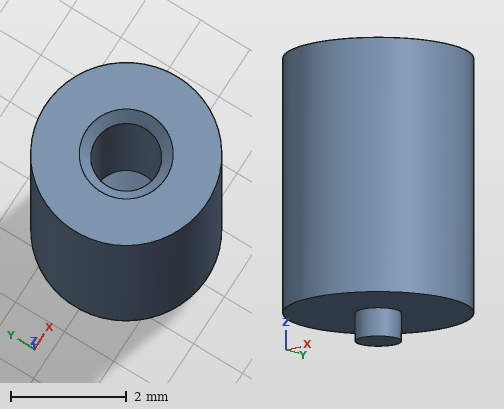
import cadquery as cq
import math

total_height = 5.0
pin_height = 0.5
pin_diameter = 0.8
body_diameter = 3.3
bore_diameter = 1.22
countersink_diameter = 1.62
countersink_angle = 90.0
bore_depth = 3.0
drill_tip_angle = 118.0

bore_radius = bore_diameter / 2
countersink_radius = countersink_diameter / 2
countersink_depth = (countersink_radius - bore_radius) / math.tan(math.radians(countersink_angle / 2))
drill_tip_depth = bore_radius / math.tan(math.radians(drill_tip_angle / 2))
bore_end_z = total_height - bore_depth


def make_body():
    """Cylinder with a short locating pin below it; the pin ends at Z = 0."""
    pin = cq.Workplane("XY").circle(pin_diameter / 2).extrude(pin_height)
    return pin.faces(">Z").workplane().circle(body_diameter / 2).extrude(total_height - pin_height)


def make_bore():
    """Countersunk blind hole with a conical drill tip, revolved about Z."""
    return (
        cq.Workplane("XZ")
        .moveTo(0, total_height)
        .lineTo(countersink_radius, total_height)
        .lineTo(bore_radius, total_height - countersink_depth)
        .lineTo(bore_radius, bore_end_z)
        .lineTo(0, bore_end_z - drill_tip_depth)
        .close()
        .revolve(360, (0, 0, 0), (0, 1, 0))
    )


result = make_body().cut(make_bore())